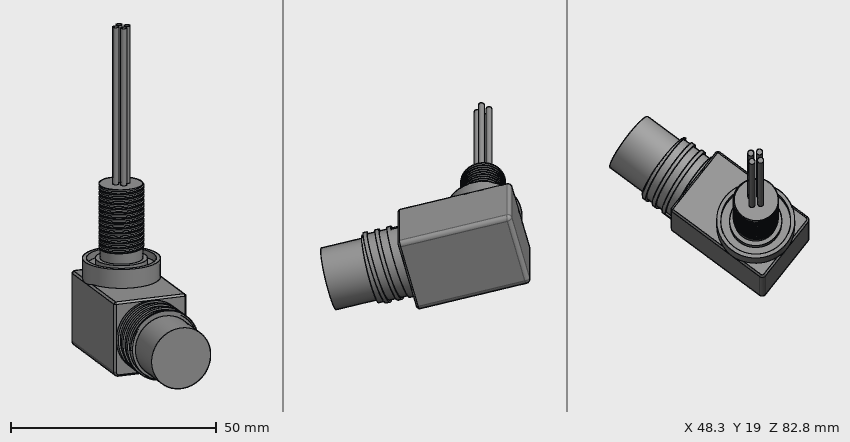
import cadquery as cq
BODY_LENGTH = 28.5
BODY_WIDTH = 19.0
BODY_HEIGHT = 19.0
BACK_EDGE_RADIUS = 1.0
BOTTOM_EDGE_RADIUS = 1.2
OUTLET_EDGE_CHAMFER = 0.5

STEM_X = BODY_WIDTH / 2
COLLAR_DIAMETER = BODY_WIDTH
COLLAR_HEIGHT = 4.8
COLLAR_ROOT = 1.5
RECESS_OUTER_DIAMETER = 17.0
RECESS_INNER_DIAMETER = 12.7
RECESS_DEPTH = 1.8

STEM_DIAMETER = 10.42
STEM_THREAD_DIAMETER = 11.0
NECK_HEIGHT = 2.5
STEM_THREAD_LENGTH = 16.5
STEM_THREAD_PITCH = 1.25
STEM_RIDGE_BASE = 1.2
STEM_RIDGE_CREST = 0.3
STEM_RIDGE_EMBED = 0.2
STEM_RIDGE_START = -0.6

WIRE_DIAMETER = 1.5
WIRE_CIRCLE_DIAMETER = 3.0
WIRE_COUNT = 4
WIRE_LENGTH = 40.0

SPIGOT_THREAD_DIAMETER = 18.0
SPIGOT_ROOT_DIAMETER = 17.0
SPIGOT_THREAD_LENGTH = 9.3
SPIGOT_PITCH = 3.0
SPIGOT_GROOVE_WIDTH = 2.0
SPIGOT_GROOVE_START = 0.8
GROOVE_OVERCUT = 0.5
BARREL_DIAMETER = 15.5
BARREL_LENGTH = 10.5

COLLAR_TOP = BODY_HEIGHT + COLLAR_HEIGHT
STEM_THREAD_BOTTOM = COLLAR_TOP + NECK_HEIGHT
STEM_TOP = STEM_THREAD_BOTTOM + STEM_THREAD_LENGTH
SPIGOT_SHOULDER = BODY_LENGTH + SPIGOT_THREAD_LENGTH
SPIGOT_AXIS_Z = BODY_HEIGHT / 2


def upright_cylinder(diameter, bottom, top):
    """Cylinder on the stem axis between two heights, its seam away from the thread start."""
    plane = cq.Plane(origin=(STEM_X, 0, bottom), xDir=(-1, 0, 0), normal=(0, 0, 1))
    return cq.Workplane(plane).circle(diameter / 2).extrude(top - bottom)


def spigot_cylinder(diameter, start, end):
    """Cylinder on the spigot axis between two X stations, its seam away from the groove start."""
    plane = cq.Plane(origin=(start, 0, SPIGOT_AXIS_Z), xDir=(0, -1, 0), normal=(1, 0, 0))
    return cq.Workplane(plane).circle(diameter / 2).extrude(end - start)


def helical_sweep(profile, pitch, length, radius):
    """Sweep (radius, height) points along a right-hand helix about Z, starting at +X."""
    helix = cq.Workplane(obj=cq.Wire.makeHelix(pitch, length, radius))
    return cq.Workplane("XZ").polyline(profile).close().sweep(helix, isFrenet=True)


def make_body():
    body = cq.Workplane("XY").box(BODY_LENGTH, BODY_WIDTH, BODY_HEIGHT, centered=(False, True, False))
    body = body.edges("|Z and <X").fillet(BACK_EDGE_RADIUS)
    body = body.faces("<Z").edges("not >X").fillet(BOTTOM_EDGE_RADIUS)
    return body.edges(">Z or >X").chamfer(OUTLET_EDGE_CHAMFER)


def make_collar():
    collar = upright_cylinder(COLLAR_DIAMETER, BODY_HEIGHT - COLLAR_ROOT, COLLAR_TOP)
    recess_floor = COLLAR_TOP - RECESS_DEPTH
    recess = upright_cylinder(RECESS_OUTER_DIAMETER, recess_floor, COLLAR_TOP)
    recess = recess.cut(upright_cylinder(RECESS_INNER_DIAMETER, recess_floor, COLLAR_TOP))
    return collar.cut(recess)


def make_stem():
    foot = STEM_DIAMETER / 2 - STEM_RIDGE_EMBED
    crest = STEM_THREAD_DIAMETER / 2
    profile = [
        (foot, -STEM_RIDGE_BASE / 2),
        (crest, -STEM_RIDGE_CREST / 2),
        (crest, STEM_RIDGE_CREST / 2),
        (foot, STEM_RIDGE_BASE / 2),
    ]
    ridge = helical_sweep(profile, STEM_THREAD_PITCH, STEM_THREAD_LENGTH + 2 * STEM_THREAD_PITCH, foot)
    ridge = ridge.translate((STEM_X, 0, STEM_THREAD_BOTTOM + STEM_RIDGE_START))
    envelope = upright_cylinder(COLLAR_DIAMETER, STEM_THREAD_BOTTOM, STEM_TOP)
    stem = upright_cylinder(STEM_DIAMETER, COLLAR_TOP - RECESS_DEPTH, STEM_TOP)
    return stem.union(ridge.intersect(envelope))


def make_wires():
    return (
        cq.Workplane("XY", origin=(STEM_X, 0, STEM_TOP))
        .polarArray(WIRE_CIRCLE_DIAMETER / 2, 0, 360, WIRE_COUNT)
        .circle(WIRE_DIAMETER / 2)
        .extrude(WIRE_LENGTH)
    )


def make_spigot_groove():
    root = SPIGOT_ROOT_DIAMETER / 2
    outside = SPIGOT_THREAD_DIAMETER / 2 + GROOVE_OVERCUT
    half_width = SPIGOT_GROOVE_WIDTH / 2
    profile = [(root, -half_width), (outside, -half_width), (outside, half_width), (root, half_width)]
    groove = helical_sweep(profile, SPIGOT_PITCH, SPIGOT_THREAD_LENGTH + SPIGOT_PITCH, root)
    groove = groove.rotate((0, 0, 0), (1, 1, 1), 120)
    return groove.translate((BODY_LENGTH + SPIGOT_GROOVE_START, 0, SPIGOT_AXIS_Z))


def make_spigot():
    threaded = spigot_cylinder(SPIGOT_THREAD_DIAMETER, BODY_LENGTH, SPIGOT_SHOULDER)
    threaded = threaded.cut(make_spigot_groove())
    barrel = spigot_cylinder(BARREL_DIAMETER, BODY_LENGTH, SPIGOT_SHOULDER + BARREL_LENGTH)
    return threaded.union(barrel)


result = make_body()
for piece in (make_collar(), make_stem(), make_wires(), make_spigot()):
    result = result.union(piece)